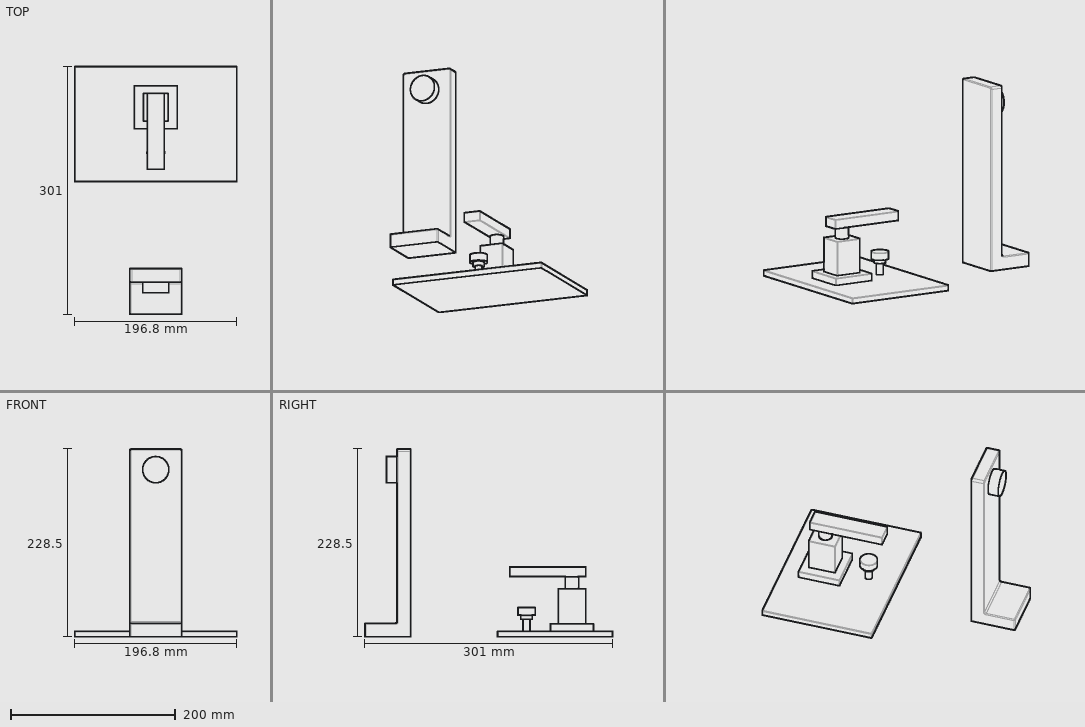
import cadquery as cq

plate_width = 196.8
plate_depth = 140.0
plate_thickness = 7.2
plate_edge_radius = 1.0

handle_y = 20.5
base_side = 52.5
base_top_z = 16.3
post_width = 29.8
post_depth = 33.7
post_top_z = 58.7
stem_diameter = 16.5
lever_bottom_z = 73.0
lever_top_z = 85.2
lever_width = 21.0
lever_length = 92.5
handle_edge_radius = 0.75

knob_y = -34.5
pin_diameter = 8.7
collar_diameter = 14.0
collar_bottom_z = 21.5
head_diameter = 21.5
head_bottom_z = 26.5
head_top_z = 35.8
knob_edge_radius = 0.5

overall_depth = 301.0
spout_width = 63.2
spout_height = 228.5
spout_depth = 56.0
spout_thickness = 17.0
spout_edge_radius = 1.2
spout_corner_radius = 2.7
spout_inner_radius = 2.0
button_diameter = 32.0
button_length = 13.0
button_z = 203.2
spout_front_y = plate_depth / 2 - overall_depth
spout_back_y = spout_front_y + spout_depth
upright_front_y = spout_back_y - spout_thickness


def block(width, depth, bottom_z, top_z, center_y):
    """Upright box centred on X = 0."""
    height = top_z - bottom_z
    return cq.Workplane("XY").box(width, depth, height).translate((0, center_y, bottom_z + height / 2))


def rod(diameter, bottom_z, top_z, center_y):
    """Vertical cylinder centred on X = 0."""
    return (
        cq.Workplane("XY", origin=(0, center_y, bottom_z))
        .circle(diameter / 2)
        .extrude(top_z - bottom_z)
    )


def make_plate():
    plate = block(plate_width, plate_depth, 0, plate_thickness, 0)
    return plate.edges("|Z or >Z").fillet(plate_edge_radius)


def make_handle():
    base = block(base_side, base_side, plate_thickness, base_top_z, handle_y)
    base = base.edges("|Z or >Z").fillet(handle_edge_radius)
    post = block(post_width, post_depth, base_top_z, post_top_z, handle_y)
    post = post.edges("|Z or >Z").fillet(handle_edge_radius)
    stem = rod(stem_diameter, post_top_z, lever_bottom_z, handle_y).edges().fillet(handle_edge_radius)
    lever_y = handle_y + (post_depth - lever_length) / 2
    lever = block(lever_width, lever_length, lever_bottom_z, lever_top_z, lever_y)
    lever = lever.edges().fillet(handle_edge_radius)
    return base.union(post).union(stem).union(lever)


def make_knob():
    pin = rod(pin_diameter, plate_thickness, collar_bottom_z, knob_y)
    collar = rod(collar_diameter, collar_bottom_z, head_bottom_z, knob_y).edges().fillet(knob_edge_radius)
    head = rod(head_diameter, head_bottom_z, head_top_z, knob_y).edges(">Z").fillet(knob_edge_radius)
    return pin.union(collar).union(head)


def make_valve_trim():
    return make_plate().union(make_handle()).union(make_knob())


def make_spout():
    upright = block(spout_width, spout_thickness, 0, spout_height, spout_back_y - spout_thickness / 2)
    foot = block(spout_width, spout_depth, 0, spout_thickness, spout_front_y + spout_depth / 2)
    body = upright.union(foot)
    body = body.edges("|Y and >Z").fillet(spout_corner_radius)
    inner_corner = cq.selectors.NearestToPointSelector((0, upright_front_y, spout_thickness))
    body = body.edges(inner_corner).fillet(spout_inner_radius)
    soft_edges = (
        body.faces("+Z").faces("<Z").edges("|Y or <Y").vals()
        + body.faces("<Y").edges("|Z").vals()
        + body.faces(">Y").edges("not <Z").vals()
    )
    body = body.newObject(soft_edges).fillet(spout_edge_radius)
    button = (
        cq.Workplane("XZ", origin=(0, upright_front_y, button_z))
        .circle(button_diameter / 2)
        .extrude(button_length)
    )
    return body.union(button)


valve_trim = make_valve_trim()
spout = make_spout()

result = cq.Compound.makeCompound([valve_trim.val(), spout.val()])